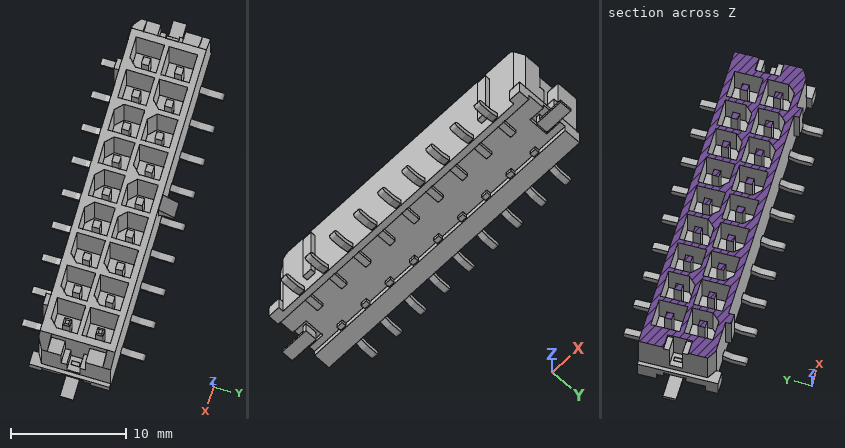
import cadquery as cq

columns = 9
row_span = 24.0
pitch = row_span / (columns - 1)
contact_width = 0.65
row_y = pitch / 2

overall_length = 34.65
overall_depth = 11.2
height = 9.95
body_half_depth = 3.4
body_half_length = 15.25
core_half_length = 13.93
shoulder_z = 8.35
corner_x = 14.35
corner_depth = 0.52

cavity_width = 2.55
cavity_bevel = 0.7
cavity_floor_z = 2.3
contact_tip_z = 6.93
tip_taper = 0.17
back_row_keys = "-RLRLLRR-"
front_row_keys = "R-LLLLRRR"

shelf_back_y = 2.67
shelf_front_y = -2.35
slot_width = 2.22
slot_floor_z = 4.78
narrow_slot_width = 1.18

base_half_length = 15.6
base_top_z = 1.7
foot_front_y = -3.9
underside_z = 0.73
underside_back_y = 1.63
underside_front_y = -2.77
end_notch_width = 2.0
end_notch_z = 1.25

rib_x = 10.85
rib_width = 1.0

latch_width = 1.4
latch_top_z = 9.3
latch_face_top_z = 7.75
latch_bottom_z = 7.0
latch_tip_y = 4.85
latch_fillet = 0.55

tail_inner_z = 0.28
tail_bend_y = 3.33
tail_flat_y = 4.23

nail_width = 1.25
nail_thickness = 0.35
nail_post_width = 0.73
nail_post_x = 14.7
nail_hole_depth = 0.1


def block(x0, x1, y0, y1, z0, z1):
    """Axis-aligned box between two opposite corners."""
    return cq.Workplane("XY").box(x1 - x0, y1 - y0, z1 - z0, centered=False).translate((x0, y0, z0))


def both_ends(shape):
    """The +X end feature together with its mirror image at the -X end."""
    return shape.union(shape.mirror("YZ"))


def make_shell():
    """Outer body with sloped top ends and bevelled front corners."""
    outline = [
        (-body_half_length, 0),
        (body_half_length, 0),
        (body_half_length, shoulder_z),
        (core_half_length, height),
        (-core_half_length, height),
        (-body_half_length, shoulder_z),
    ]
    shell = cq.Workplane("XZ").polyline(outline).close().extrude(body_half_depth, both=True)
    corner = (
        cq.Workplane("XY")
        .moveTo(corner_x, -body_half_depth)
        .lineTo(body_half_length, -body_half_depth)
        .lineTo(body_half_length, -body_half_depth + corner_depth)
        .close()
        .extrude(height)
    )
    return shell.cut(both_ends(corner))


def make_base():
    """Base plate at the +X end, with its foot reaching past the front face."""
    plate = block(core_half_length, base_half_length, -body_half_depth, body_half_depth, 0, base_top_z)
    foot = block(corner_x, base_half_length, foot_front_y, -body_half_depth, 0, base_top_z)
    return plate.union(foot)


def make_end_recess():
    """Shelf and stepped slot removed from the +X end."""
    x0, x1 = core_half_length, body_half_length
    shelf = block(x0, x1, shelf_front_y, shelf_back_y, shoulder_z, height)
    slot = block(x0, x1, -slot_width / 2, slot_width / 2, slot_floor_z, height)
    narrow = block(x0, x1, -narrow_slot_width / 2, narrow_slot_width / 2, cavity_floor_z, height)
    return shelf.union(slot).union(narrow)


def make_underside():
    """Channel along the whole underside, with a taller notch at each end."""
    channel = block(-base_half_length, base_half_length, underside_front_y, underside_back_y, 0, underside_z)
    notch = block(core_half_length, base_half_length, -end_notch_width / 2, end_notch_width / 2, 0, end_notch_z)
    return channel.union(both_ends(notch))


def make_cavity(x, y, key):
    """Contact cavity, open at the top, with an optional keying bevel at the front."""
    cavity = (
        cq.Workplane("XY", origin=(x, y, cavity_floor_z))
        .rect(cavity_width, cavity_width)
        .extrude(height - cavity_floor_z)
    )
    if key == "R":
        cavity = cavity.edges("|Z and >X and <Y").chamfer(cavity_bevel)
    if key == "L":
        cavity = cavity.edges("|Z and <X and <Y").chamfer(cavity_bevel)
    return cavity


def make_rib(x):
    """Upright rib on the front face."""
    half = rib_width / 2
    return block(x - half, x + half, foot_front_y, -body_half_depth, base_top_z, shoulder_z)


def make_latch():
    """Ramped latch on the rear face, filleted where its underside meets the wall."""
    return (
        cq.Workplane("YZ")
        .moveTo(body_half_depth, latch_top_z)
        .lineTo(latch_tip_y, latch_face_top_z)
        .lineTo(latch_tip_y, latch_bottom_z)
        .lineTo(body_half_depth + latch_fillet, latch_bottom_z)
        .radiusArc((body_half_depth, latch_bottom_z - latch_fillet), -latch_fillet)
        .close()
        .extrude(latch_width / 2, both=True)
    )


def make_contact(x, tapered):
    """Rear-row contact: upright pin and round-ended solder tail cranked down to z = 0."""
    half = contact_width / 2
    tail_tip_y = overall_depth / 2
    tail = (
        cq.Workplane("YZ", origin=(x, 0, 0))
        .moveTo(row_y - half, tail_inner_z)
        .lineTo(tail_bend_y, tail_inner_z)
        .lineTo(tail_flat_y, 0)
        .lineTo(tail_tip_y - half, 0)
        .threePointArc((tail_tip_y, half), (tail_tip_y - half, contact_width))
        .lineTo(tail_flat_y, contact_width)
        .lineTo(tail_bend_y, tail_inner_z + contact_width)
        .lineTo(row_y - half, tail_inner_z + contact_width)
        .close()
        .extrude(half, both=True)
    )
    pin = block(x - half, x + half, row_y - half, row_y + half, tail_inner_z, contact_tip_z)
    if tapered:
        pin = pin.faces(">Z").chamfer(tip_taper)
    return pin.union(tail)


def make_nail():
    """Solder nail at the +X end: flat tab, shoulder and upright post."""
    inner_x = nail_post_x - nail_thickness
    half = nail_width / 2
    post_half = nail_post_width / 2
    tab = block(inner_x, overall_length / 2, -half, half, 0, nail_thickness)
    shoulder = block(inner_x, nail_post_x, -half, half, 0, end_notch_z)
    post_top_z = cavity_floor_z - nail_hole_depth
    post = block(inner_x, nail_post_x, -post_half, post_half, 0, post_top_z)
    return tab.union(shoulder).union(post)


def make_nail_hole():
    """Hole in the +X slot floor above the nail post."""
    half = nail_post_width / 2
    return block(nail_post_x - nail_thickness, nail_post_x, -half, half, end_notch_z, cavity_floor_z)


column_x = [(i - (columns - 1) / 2) * pitch for i in range(columns)]

housing = make_shell().union(both_ends(make_base()))
housing = housing.cut(both_ends(make_end_recess()))
housing = housing.cut(make_underside())
housing = housing.cut(both_ends(make_nail_hole()))
for x, back_key, front_key in zip(column_x, back_row_keys, front_row_keys):
    housing = housing.cut(make_cavity(x, row_y, back_key))
    housing = housing.cut(make_cavity(x, -row_y, front_key))

result = housing.union(both_ends(make_rib(rib_x))).union(make_latch())
for x in column_x:
    contact = make_contact(x, tapered=(x == column_x[-1]))
    result = result.union(contact).union(contact.mirror("XZ"))
result = result.union(both_ends(make_nail()))